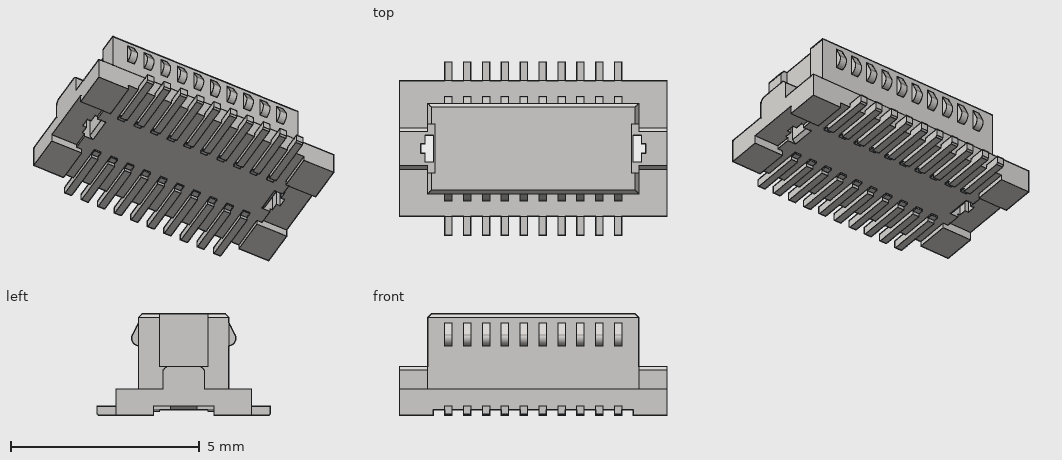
import math

import cadquery as cq

base_length = 7.1
base_width = 3.6
base_top = 0.7
foot_length = 0.9
foot_gap = 1.6
center_clearance = 0.15
end_clearance = 0.25

housing_length = 5.6
housing_width = 2.4
housing_top = 2.7
edge_chamfer = 0.1

rail_width = 1.1
rail_top = 1.3
pocket_width = 1.3
pocket_depth = 0.19
slot_length = 0.22
slot_width = 0.7
slot_notch_length = 0.115
slot_notch_width = 0.25
slot_lead_in = end_clearance - center_clearance

contact_count = 10
contact_row_length = 4.5
contact_width = 0.2
contact_pitch = contact_row_length / (contact_count - 1)
tail_span = 4.6
tail_height = 0.25
tail_tip_chamfer = 0.04
tail_inner_gap = 1.28
tail_inner_bottom = 0.1
bump_radius = 0.2
bump_projection = 0.185
bump_bottom = 1.845
bump_top = 2.46

foot_inner_x = foot_length - base_length / 2


def block(length, width, bottom, top, center_x=0):
    """Box between two heights, centred on Y = 0."""
    plane = cq.Workplane("XY", origin=(center_x, 0, bottom))
    return plane.box(length, width, top - bottom, centered=(True, True, False))


def extrude_along_x(profile, width):
    """Extrude a YZ profile equally to both sides of X = 0."""
    return profile.extrude(width / 2, both=True)


def make_base():
    """Base plate relieved underneath, between the ends and between the feet at each end."""
    base = block(base_length, base_width, 0, base_top)
    center_relief = block(base_length - 2 * foot_length, base_width, 0, center_clearance)
    end_relief = block(foot_length, foot_gap, 0, end_clearance, foot_inner_x - foot_length / 2)
    return base.cut(center_relief).cut(end_relief).cut(end_relief.mirror("YZ"))


def make_rail():
    """Chamfered rail along X that shows beyond both ends of the housing."""
    rail = block(base_length, rail_width, end_clearance, rail_top)
    return rail.edges("|X and >Z").chamfer(edge_chamfer)


def make_housing():
    """Raised housing with a chamfer around its top."""
    housing = block(housing_length, housing_width, center_clearance, housing_top)
    return housing.faces(">Z").edges().chamfer(edge_chamfer)


def make_end_cut():
    """Pocket in the -X end of the housing and the notched slot below it."""
    pocket = block(2 * pocket_depth, pocket_width, rail_top, housing_top, -housing_length / 2)
    slot = block(slot_length, slot_width, 0, rail_top, foot_inner_x - slot_length / 2)
    notch_reach = slot_length + slot_notch_length
    notch = block(notch_reach, slot_notch_width, 0, rail_top, foot_inner_x - notch_reach / 2)
    lead_in = (
        cq.Workplane("XZ")
        .moveTo(foot_inner_x, center_clearance)
        .lineTo(foot_inner_x + slot_lead_in, center_clearance)
        .lineTo(foot_inner_x, end_clearance)
        .close()
        .extrude(slot_width / 2, both=True)
    )
    return pocket.union(slot).union(notch).union(lead_in)


def make_tail():
    """Solder tail on the +Y side, stepped up past the inner side of the feet."""
    step_y = foot_gap / 2
    tip = tail_span / 2
    profile = (
        cq.Workplane("YZ")
        .moveTo(tail_inner_gap / 2, tail_inner_bottom)
        .lineTo(step_y, tail_inner_bottom)
        .lineTo(step_y, 0)
        .lineTo(tip - tail_tip_chamfer, 0)
        .lineTo(tip, tail_tip_chamfer)
        .lineTo(tip, tail_height)
        .lineTo(tail_inner_gap / 2, tail_height)
        .close()
    )
    return extrude_along_x(profile, contact_width)


def make_bump():
    """Contact bump on the +Y wall: a slope running tangent into a round nose."""
    wall = housing_width / 2
    inner_y = wall - bump_radius
    center_y = wall + bump_projection - bump_radius
    center_z = bump_bottom + bump_radius
    rise = bump_top - center_z
    run = wall - center_y
    tangent_angle = math.atan2(rise, run) - math.acos(bump_radius / math.hypot(rise, run))
    middle_angle = (tangent_angle - math.pi / 2) / 2

    def nose_point(angle):
        return (
            center_y + bump_radius * math.cos(angle),
            center_z + bump_radius * math.sin(angle),
        )

    profile = (
        cq.Workplane("YZ")
        .moveTo(wall, bump_top)
        .lineTo(*nose_point(tangent_angle))
        .threePointArc(nose_point(middle_angle), (center_y, bump_bottom))
        .lineTo(inner_y, bump_bottom)
        .lineTo(inner_y, bump_top)
        .close()
    )
    return extrude_along_x(profile, contact_width)


result = make_base().union(make_rail()).union(make_housing())

end_cut = make_end_cut()
result = result.cut(end_cut).cut(end_cut.mirror("YZ"))

contact = make_tail().add(make_bump()).combine()
contact_pair = contact.union(contact.mirror("XZ"))
for index in range(contact_count):
    contact_x = index * contact_pitch - contact_row_length / 2
    result = result.union(contact_pair.translate((contact_x, 0, 0)))